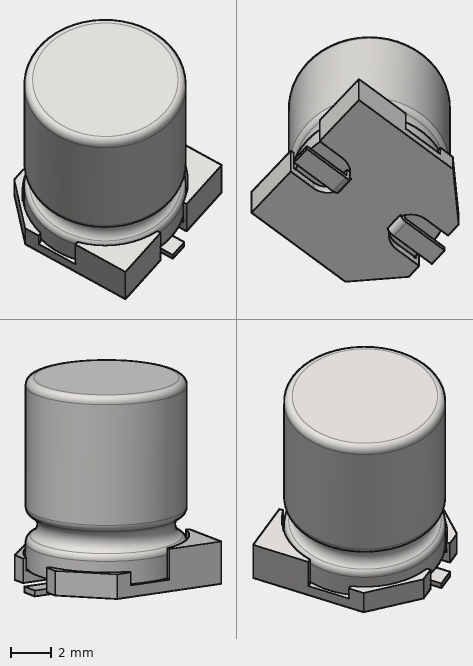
import cadquery as cq
import math

total_height = 10.5
lead_thickness = 0.3
floor_top = 0.9
low_wall_top = 1.56
high_wall_top = 2.47

can_radius = 4.0
can_top_fillet = 0.4
neck_radius = 3.42
neck_height = 3.01
neck_arc_radius = 0.62
upper_shoulder_radius = 0.42
lower_shoulder_radius = 0.38

base_side = 8.3
base_corner_cut = 2.23
gap_width = 2.23
pocket_radius = 4.11

lead_span = 8.9
lead_width = 1.0
lead_inner_bend = 0.08
riser_inner_x = 1.58


def shoulder_points(shoulder_radius, direction):
    """Can end, middle and neck end of a shoulder arc tangent to the can wall and to the neck arc.

    direction is +1 for the shoulder above the neck and -1 for the one below.
    """
    neck_arc_x = neck_radius + neck_arc_radius
    center_x = can_radius - shoulder_radius
    run = neck_arc_x - center_x
    rise = math.sqrt((shoulder_radius + neck_arc_radius) ** 2 - run**2)
    center_z = neck_height + direction * rise
    sweep = math.atan2(rise, run)

    def on_arc(angle):
        x = center_x + shoulder_radius * math.cos(angle)
        z = center_z - direction * shoulder_radius * math.sin(angle)
        return (x, z)

    return on_arc(0), on_arc(sweep / 2), on_arc(sweep)


def make_can():
    """Revolved can: round top edge, two shoulders and a concave neck between them."""
    low_start, low_middle, low_end = shoulder_points(lower_shoulder_radius, -1)
    up_start, up_middle, up_end = shoulder_points(upper_shoulder_radius, 1)
    half_profile = (
        cq.Workplane("XZ")
        .moveTo(0, floor_top)
        .lineTo(can_radius, floor_top)
        .lineTo(*low_start)
        .threePointArc(low_middle, low_end)
        .threePointArc((neck_radius, neck_height), up_end)
        .threePointArc(up_middle, up_start)
        .lineTo(can_radius, total_height)
        .lineTo(0, total_height)
        .close()
    )
    can = half_profile.revolve(360, (0, 0, 0), (0, 1, 0))
    return can.faces(">Z").edges().fillet(can_top_fillet)


def block(x_size, y_size, bottom, top, x_center=0.0):
    """Box centred on y = 0 between two heights."""
    box = cq.Workplane("XY").box(x_size, y_size, top - bottom, centered=(True, True, False))
    return box.translate((x_center, 0, bottom))


def lead_slot(side):
    """Open slot through the base for one lead, with a full-round inner end at the riser."""
    end_radius = gap_width / 2
    round_center_x = riser_inner_x + end_radius
    slot_length = base_side / 2 - round_center_x
    slot = block(slot_length, gap_width, lead_thickness, high_wall_top, round_center_x + slot_length / 2)
    round_end = (
        cq.Workplane("XY", origin=(round_center_x, 0, lead_thickness))
        .circle(end_radius)
        .extrude(high_wall_top - lead_thickness)
    )
    slot = slot.union(round_end)
    return slot if side > 0 else slot.mirror("YZ")


def make_base():
    """Square base with two cut corners, a round can pocket and an opening on every side."""
    base = block(base_side, base_side, lead_thickness, high_wall_top)
    base = base.edges("|Z and <X").chamfer(base_corner_cut)

    low_length = base_side / 2 + gap_width / 2
    low_center_x = (gap_width - base_side) / 4
    base = base.cut(block(low_length, base_side, low_wall_top, high_wall_top, low_center_x))
    base = base.cut(block(gap_width, base_side, floor_top, high_wall_top))

    pocket = (
        cq.Workplane("XY", origin=(0, 0, floor_top))
        .circle(pocket_radius)
        .extrude(high_wall_top - floor_top)
    )
    base = base.cut(pocket)
    for side in (-1, 1):
        base = base.cut(lead_slot(side))
    return base


def make_lead(side):
    """Flat foot that bends up into a riser reaching the can bottom."""
    outer_bend = lead_inner_bend + lead_thickness
    bend_x = riser_inner_x + outer_bend
    riser_outer_x = riser_inner_x + lead_thickness
    foot_end_x = lead_span / 2
    lead = (
        cq.Workplane("XZ")
        .moveTo(foot_end_x, 0)
        .lineTo(bend_x, 0)
        .radiusArc((riser_inner_x, outer_bend), outer_bend)
        .lineTo(riser_inner_x, floor_top)
        .lineTo(riser_outer_x, floor_top)
        .lineTo(riser_outer_x, outer_bend)
        .radiusArc((bend_x, lead_thickness), -lead_inner_bend)
        .lineTo(foot_end_x, lead_thickness)
        .close()
        .extrude(lead_width / 2, both=True)
    )
    return lead if side > 0 else lead.mirror("YZ")


part = make_can().union(make_base())
for lead_side in (-1, 1):
    part = part.union(make_lead(lead_side))
result = part.solids()